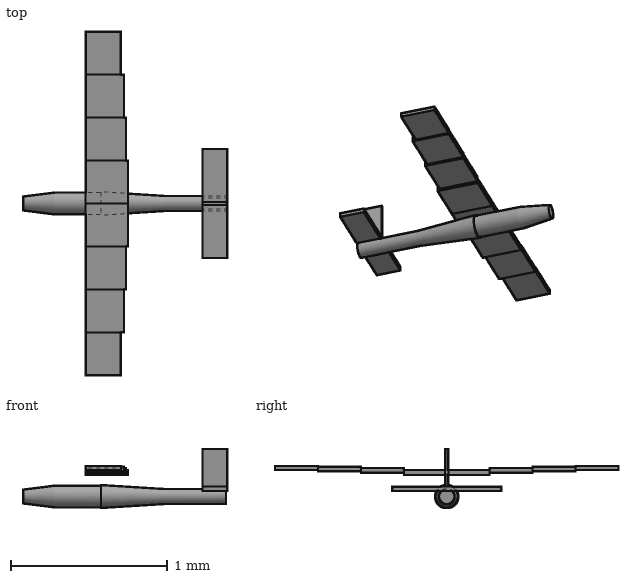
import cadquery as cq

NOSE_LENGTH = 0.2
CABIN_END = 0.5
CONE_END = 0.9
BOOM_END = 1.3

NOSE_DIAMETER = 0.09
CABIN_DIAMETER = 0.14
CONE_DIAMETER = 0.15
BOOM_DIAMETER = 0.1

WINGSPAN = 2.2
WING_LEADING_EDGE = 0.4
PANEL_CHORDS = [0.273, 0.26, 0.246, 0.227]
PANEL_MID_HEIGHTS = [0.155, 0.167, 0.175, 0.183]
THICKNESS_TO_CHORD = 0.12
PANEL_SPAN = WINGSPAN / 2 / len(PANEL_CHORDS)

TAIL_TRAILING_EDGE = 1.31
TAIL_CHORD = 0.16
TAIL_LEADING_EDGE = TAIL_TRAILING_EDGE - TAIL_CHORD
TAILPLANE_SPAN = 0.7
TAILPLANE_THICKNESS = 0.029
TAILPLANE_TOP = BOOM_DIAMETER / 2 + TAILPLANE_THICKNESS / 2
FIN_HEIGHT = 0.242
FIN_THICKNESS = 0.02


def make_fuselage():
    """Revolve the tapered nose, cabin, rear cone and tail boom about the X axis."""
    profile = [
        (0, 0),
        (0, NOSE_DIAMETER / 2),
        (NOSE_LENGTH, CABIN_DIAMETER / 2),
        (CABIN_END, CABIN_DIAMETER / 2),
        (CABIN_END, CONE_DIAMETER / 2),
        (CONE_END, BOOM_DIAMETER / 2),
        (BOOM_END, BOOM_DIAMETER / 2),
        (BOOM_END, 0),
    ]
    return cq.Workplane("XY").polyline(profile).close().revolve(360, (0, 0, 0), (1, 0, 0))


def make_wing(side):
    """Join the stepped panels of one wing half; side is +1 for +Y and -1 for -Y."""
    wing = cq.Workplane("XY")
    for index, (chord, mid_height) in enumerate(zip(PANEL_CHORDS, PANEL_MID_HEIGHTS)):
        mid_span = side * (index + 0.5) * PANEL_SPAN
        panel = (
            cq.Workplane("XY")
            .box(chord, PANEL_SPAN, chord * THICKNESS_TO_CHORD, centered=(False, True, True))
            .translate((WING_LEADING_EDGE, mid_span, mid_height))
        )
        wing = wing.union(panel)
    return wing


def make_tailplane():
    """Make the flat horizontal tail surface."""
    return (
        cq.Workplane("XY")
        .box(TAIL_CHORD, TAILPLANE_SPAN, TAILPLANE_THICKNESS, centered=(False, True, False))
        .translate((TAIL_LEADING_EDGE, 0, TAILPLANE_TOP - TAILPLANE_THICKNESS))
    )


def make_fin():
    """Make the vertical tail surface that stands on the tailplane."""
    return (
        cq.Workplane("XY")
        .box(TAIL_CHORD, FIN_THICKNESS, FIN_HEIGHT, centered=(False, True, False))
        .translate((TAIL_LEADING_EDGE, 0, TAILPLANE_TOP))
    )


tailplane = make_tailplane()
fin = make_fin()
wings = [make_wing(side) for side in (1, -1)]

fuselage = make_fuselage().cut(tailplane)

result = cq.Compound.makeCompound(
    [fuselage.val(), *[wing.val() for wing in wings], tailplane.val(), fin.val()]
)